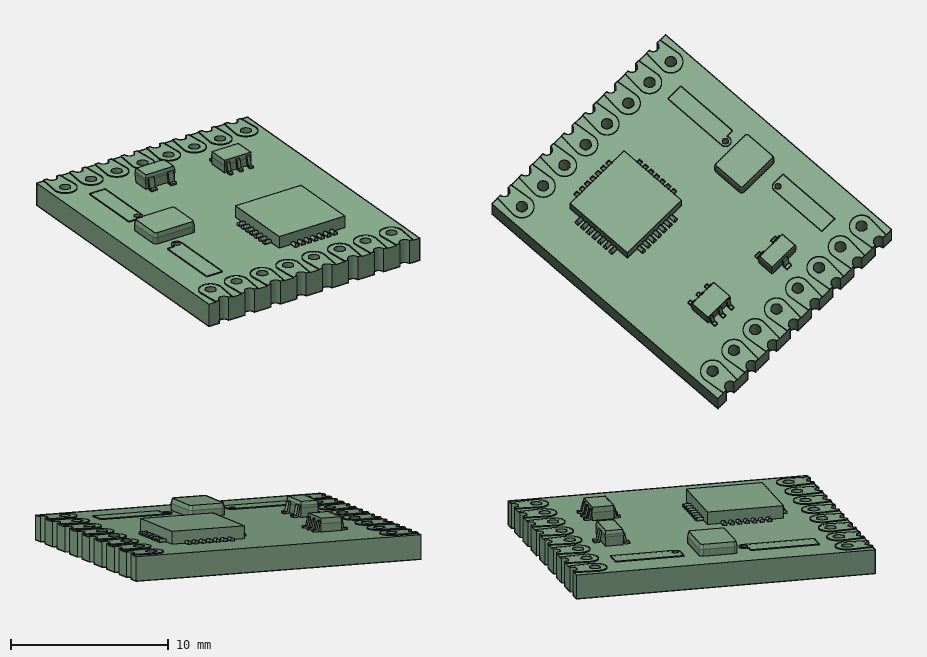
import cadquery as cq
import math

board_length = 19.7
board_width = 16.1
board_thick = 1.6
copper_thick = 0.05
overall_height = 2.62

pads_per_side = 8
pad_pitch = 1.97
pad_hole_inset = 1.54
pad_hole_diameter = 0.7
pad_radius = 0.77
pad_edge_half_width = 0.63

strip_length = 4.51
strip_width = 1.2
strip_top_y = -4.9
left_strip_x = -6.72
right_strip_x = 2.19
via_diameter = 0.4
via_ring_radius = 0.35
right_via_offset = 0.18

chip_x = 3.5
chip_y = 2.38
chip_side = 5.0
chip_top = 2.42
chip_pins_per_side = 7
chip_pin_pitch = 0.5
chip_pin_width = 0.28
chip_pin_reach = 0.5
chip_pin_height = 0.18
chip_pin_round = 0.12

crystal_y = -4.87
crystal_length = 2.5
crystal_width = 3.11
crystal_corner = 0.24
crystal_base_top = 2.05
crystal_top = 2.36
crystal_lid_inset = 0.08

six_x = -5.1
six_y = 3.65
six_length = 1.45
six_width = 2.05
six_draft = 0.02
six_parting_z = 2.13
six_top = 2.48
six_lead_pitch = 0.77
six_lead_width = 0.24
six_lead_top = 2.32
six_leg_reach = 0.95
six_foot_reach = 1.18

three_x = -5.87
three_y = -1.67
three_length = 1.22
three_width = 2.23
three_top_inset = 0.05
three_band_bottom = 2.23
three_band_top = 2.38
three_bottom_inset = 0.04
three_lead_spread = 1.48
three_lead_width = 0.41
three_lead_top = 2.36
three_leg_reach = 0.85
three_foot_reach = 1.06

lead_thick = 0.12
lead_lean = 0.14
lead_bend_radius = 0.1

pad_ys = [(i - (pads_per_side - 1) / 2) * pad_pitch for i in range(pads_per_side)]
pad_hole_x = board_length / 2 - pad_hole_inset
strip_bottom_y = strip_top_y - strip_width
via_y = strip_top_y - via_ring_radius
left_via_x = left_strip_x + strip_length - via_ring_radius
right_via_x = right_strip_x - right_via_offset


def block(length, width, bottom, top, inset=0.0, corner=0.0):
    """Centred block from bottom to top whose upper face is inset on all sides."""
    taper = math.degrees(math.atan2(inset, top - bottom))
    outline = cq.Sketch().rect(length, width)
    if corner:
        outline = outline.vertices().fillet(corner)
    plane = cq.Workplane("XY").workplane(offset=bottom)
    return plane.placeSketch(outline).extrude(top - bottom, taper=taper)


def edge_pad(side, y):
    """Copper pad from the board edge, widening to a round end about its hole."""
    edge_x = side * board_length / 2
    hole_x = side * pad_hole_x
    return (
        cq.Workplane("XY")
        .workplane(offset=board_thick)
        .moveTo(edge_x, y - pad_edge_half_width)
        .lineTo(hole_x, y - pad_radius)
        .threePointArc((hole_x - side * pad_radius, y), (hole_x, y + pad_radius))
        .lineTo(edge_x, y + pad_edge_half_width)
        .close()
        .extrude(copper_thick)
    )


def left_strip():
    """Strip whose inner top corner is rounded about its via."""
    right_x = left_strip_x + strip_length
    diagonal = via_ring_radius * math.sqrt(0.5)
    return (
        cq.Workplane("XY")
        .workplane(offset=board_thick)
        .moveTo(left_strip_x, strip_bottom_y)
        .lineTo(right_x, strip_bottom_y)
        .lineTo(right_x, via_y)
        .threePointArc((left_via_x + diagonal, via_y + diagonal), (left_via_x, strip_top_y))
        .lineTo(left_strip_x, strip_top_y)
        .close()
        .extrude(copper_thick)
    )


def right_strip():
    """Strip with a via ring overhanging its inner top corner, filled up to its top side."""
    plane = cq.Workplane("XY").workplane(offset=board_thick)
    strip_x = right_strip_x + strip_length / 2
    strip_y = (strip_top_y + strip_bottom_y) / 2
    neck_length = right_strip_x - right_via_x
    strip = plane.center(strip_x, strip_y).rect(strip_length, strip_width).extrude(copper_thick)
    ring = plane.center(right_via_x, via_y).circle(via_ring_radius).extrude(copper_thick)
    neck = (
        plane.center(right_via_x + neck_length / 2, via_y + via_ring_radius / 2)
        .rect(neck_length, via_ring_radius)
        .extrude(copper_thick)
    )
    return strip.union(ring).union(neck)


def square_chip():
    """Square chip body with a row of round-topped pins on each side."""
    chip = block(chip_side, chip_side, board_thick, chip_top)
    pin = block(2 * chip_pin_reach, chip_pin_width, board_thick, board_thick + chip_pin_height)
    pin = pin.faces(">Z").edges().fillet(chip_pin_round)
    for turn in range(4):
        for i in range(chip_pins_per_side):
            offset = (i - (chip_pins_per_side - 1) / 2) * chip_pin_pitch
            placed = pin.translate((chip_side / 2, offset, 0))
            chip = chip.union(placed.rotate((0, 0, 0), (0, 0, 1), 90 * turn))
    return chip.translate((chip_x, chip_y, 0))


def crystal():
    """Round-cornered base with a lid that tapers inward."""
    base = block(crystal_length, crystal_width, board_thick, crystal_base_top, 0, crystal_corner)
    lid = block(
        crystal_length, crystal_width, crystal_base_top, crystal_top, crystal_lid_inset, crystal_corner
    )
    return base.union(lid).translate((0, crystal_y, 0))


def gull_lead(top, leg_reach, foot_reach, width):
    """Bent lead running from the package centre out to +X and down to the board."""
    shoulder_reach = leg_reach - lead_lean
    lead = (
        cq.Workplane("XZ")
        .moveTo(0, top)
        .lineTo(shoulder_reach, top)
        .lineTo(leg_reach, board_thick + lead_thick)
        .lineTo(foot_reach, board_thick + lead_thick)
        .lineTo(foot_reach, board_thick)
        .lineTo(leg_reach - lead_thick, board_thick)
        .lineTo(shoulder_reach - lead_thick, top - lead_thick)
        .lineTo(0, top - lead_thick)
        .close()
        .extrude(width / 2, both=True)
    )
    shoulder_edge = cq.selectors.NearestToPointSelector((shoulder_reach, 0, top))
    return lead.edges("|Y").edges(shoulder_edge).fillet(lead_bend_radius)


def inverted_block(length, width, bottom, top, inset):
    """Block centred in plan whose lower face is inset on all sides."""
    upright = block(length, width, bottom, top, inset)
    return upright.mirror("XY", (0, 0, (bottom + top) / 2))


def six_lead_package():
    """Body drafted both ways from its parting plane, with three leads on each side."""
    body = block(six_length, six_width, six_parting_z, six_top, six_draft).union(
        inverted_block(six_length, six_width, board_thick, six_parting_z, six_draft)
    )
    lead = gull_lead(six_lead_top, six_leg_reach, six_foot_reach, six_lead_width)
    for y in (-six_lead_pitch, 0, six_lead_pitch):
        body = body.union(lead.translate((0, y, 0)))
        body = body.union(lead.mirror("YZ").translate((0, y, 0)))
    return body.translate((six_x, six_y, 0))


def three_lead_package():
    """Body with a sloped cap over a straight band, two leads on +X and one on -X."""
    body = block(three_length, three_width, three_band_top, overall_height, three_top_inset)
    body = body.union(block(three_length, three_width, three_band_bottom, three_band_top))
    body = body.union(
        inverted_block(three_length, three_width, board_thick, three_band_bottom, three_bottom_inset)
    )
    lead = gull_lead(three_lead_top, three_leg_reach, three_foot_reach, three_lead_width)
    body = body.union(lead.mirror("YZ"))
    for y in (-three_lead_spread / 2, three_lead_spread / 2):
        body = body.union(lead.translate((0, y, 0)))
    return body.translate((three_x, three_y, 0))


module = block(board_length, board_width, 0, board_thick)
for side in (-1, 1):
    for y in pad_ys:
        module = module.union(edge_pad(side, y))
module = module.union(left_strip()).union(right_strip())

hole_centres = [(side * x, y) for side in (-1, 1) for x in (pad_hole_x, board_length / 2) for y in pad_ys]
via_centres = [(left_via_x, via_y), (right_via_x, via_y)]
cut_height = board_thick + copper_thick
holes = cq.Workplane("XY").pushPoints(hole_centres).circle(pad_hole_diameter / 2).extrude(cut_height)
vias = cq.Workplane("XY").pushPoints(via_centres).circle(via_diameter / 2).extrude(cut_height)
module = module.cut(holes).cut(vias)

for component in (square_chip(), crystal(), six_lead_package(), three_lead_package()):
    module = module.union(component)

result = module